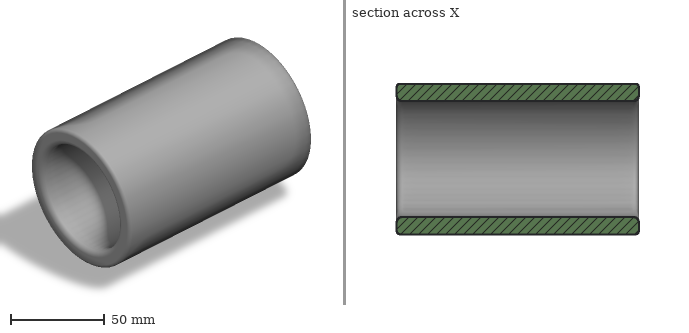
import cadquery as cq

outer_diameter = 81.0
bore_diameter = 62.0
length = 130.0

outer_rim_radius = 2.0
bore_mouth_radius = 3.0


def tube():
    """Plain tube along Y, centred on the origin."""
    end_plane = cq.Workplane("XZ", origin=(0, length / 2, 0))
    rings = end_plane.circle(outer_diameter / 2).circle(bore_diameter / 2)
    return rings.extrude(length)


def round_rims(body, rim_diameter, radius):
    """Round the circular edges of the given diameter on both end faces."""
    end_edges = body.faces("<Y or >Y").edges("%CIRCLE")
    rim_edges = end_edges.filter(lambda edge: abs(2 * edge.radius() - rim_diameter) < radius)
    return rim_edges.fillet(radius)


sleeve = tube()
sleeve = round_rims(sleeve, outer_diameter, outer_rim_radius)
result = round_rims(sleeve, bore_diameter, bore_mouth_radius)